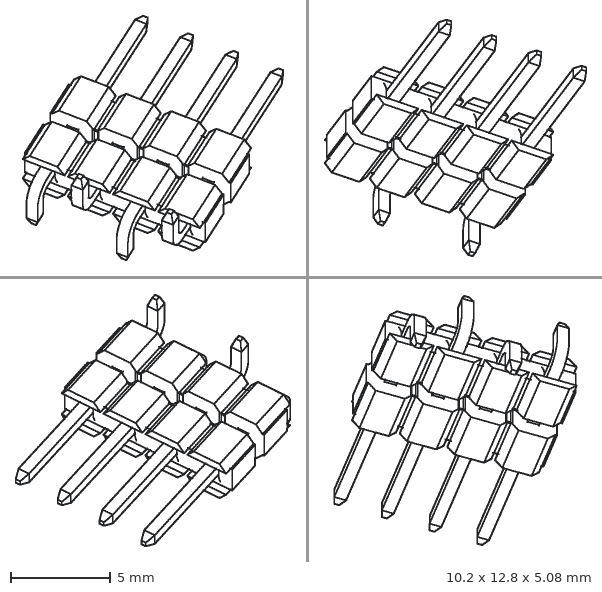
import cadquery as cq
import math

PIN_COUNT = 4
ROW_LENGTH = 10.16
PITCH = ROW_LENGTH / PIN_COUNT

PIN_WIDTH = 0.64
PIN_LENGTH = 12.8
LEG_SPAN = 5.08
BEND_INNER_RADIUS = 0.5
TIP_LENGTH = 0.54
TIP_WIDTH = 0.27

HOUSING_DEPTH = 2.5
HOUSING_HEIGHT = 2.51
BAR_DEPTH = 2.09
BAR_HEIGHT = 1.55
SHELL_BASE_WIDTH = 2.35
SHELL_TOP_WIDTH = 1.56
FRONT_HOUSING_Y = 1.3
HOUSING_GAP = 0.8
HOLE_RIM_RADIUS = 0.3
GROOVE_WIDTH = 0.37
GROOVE_DEPTH = 0.08
GROOVE_HEIGHT = 1.52

BEND_OUTER_RADIUS = BEND_INNER_RADIUS + PIN_WIDTH
INNER_Y = FRONT_HOUSING_Y + HOUSING_DEPTH
BAR_FRONT_Y = INNER_Y - BAR_DEPTH
MIRROR_Y = INNER_Y + HOUSING_GAP / 2
PIN_POSITIONS = [(i - (PIN_COUNT - 1) / 2) * PITCH for i in range(PIN_COUNT)]
GROOVE_POSITIONS = [x + PITCH / 2 for x in PIN_POSITIONS[:-1]]


def square_taper(large, small, length):
    """Square frustum with its large end on Z = 0, narrowing upwards."""
    return cq.Workplane("XY").rect(large, large).workplane(offset=length).rect(small, small).loft()


def make_hole_flare():
    """Cutter along Y, flared in plan only: pin width with a convex rounding at the mouth on Y = 0."""
    half_hole = PIN_WIDTH / 2
    half_mouth = half_hole + HOLE_RIM_RADIUS
    arc_x = half_mouth - HOLE_RIM_RADIUS * math.sin(math.pi / 4)
    arc_y = HOLE_RIM_RADIUS * (1 - math.cos(math.pi / 4))
    return (
        cq.Workplane("XY")
        .moveTo(-half_mouth, 0)
        .threePointArc((-arc_x, arc_y), (-half_hole, HOLE_RIM_RADIUS))
        .lineTo(-half_hole, BAR_DEPTH)
        .lineTo(half_hole, BAR_DEPTH)
        .lineTo(half_hole, HOLE_RIM_RADIUS)
        .threePointArc((arc_x, arc_y), (half_mouth, 0))
        .close()
        .extrude(half_mouth, both=True)
    )


def make_bar():
    """Plain bar with a square pin hole for each pin, its rim rounded on all four walls."""
    bar = cq.Workplane("XY").box(ROW_LENGTH, BAR_DEPTH, BAR_HEIGHT)
    bar = bar.translate((0, BAR_FRONT_Y + BAR_DEPTH / 2, 0))
    flare = make_hole_flare()
    hole = flare.intersect(flare.rotate((0, 0, 0), (0, 1, 0), 90))
    for x in PIN_POSITIONS:
        bar = bar.cut(hole.translate((x, BAR_FRONT_Y, 0)))
    return bar


def make_shell(x, side):
    """Bevelled shell at one pin: side is 1 for above the bar, -1 for below it."""
    half_base = SHELL_BASE_WIDTH / 2
    half_top = SHELL_TOP_WIDTH / 2
    base_z = side * BAR_HEIGHT / 2
    outer_z = side * HOUSING_HEIGHT / 2
    return (
        cq.Workplane("XZ", origin=(x, FRONT_HOUSING_Y, 0))
        .polyline([(-half_base, base_z), (-half_top, outer_z), (half_top, outer_z), (half_base, base_z)])
        .close()
        .extrude(-HOUSING_DEPTH)
    )


def make_groove(x):
    """Recess cutter for the inner face, with 45 degree side walls."""
    half_mouth = GROOVE_WIDTH / 2
    half_floor = half_mouth - GROOVE_DEPTH
    floor_y = INNER_Y - GROOVE_DEPTH
    return (
        cq.Workplane("XY", origin=(x, 0, -GROOVE_HEIGHT / 2))
        .polyline([
            (-half_mouth, INNER_Y), (-half_floor, floor_y),
            (half_floor, floor_y), (half_mouth, INNER_Y),
        ])
        .close()
        .extrude(GROOVE_HEIGHT)
    )


def make_front_housing():
    """Bar with a bevelled shell above and below each pin, and recesses between the units."""
    housing = make_bar()
    for x in GROOVE_POSITIONS:
        housing = housing.cut(make_groove(x))
    for x in PIN_POSITIONS:
        housing = housing.union(make_shell(x, 1)).union(make_shell(x, -1))
    return housing


def make_pin(x, leg_side):
    """Square pin with tapered ends; leg_side is 1 for a leg going up, -1 for down."""
    half = PIN_WIDTH / 2
    shank_end = PIN_LENGTH - TIP_LENGTH
    leg_end = -(LEG_SPAN / 2 - TIP_LENGTH)
    bend_z = half - BEND_OUTER_RADIUS
    arc = math.sin(math.pi / 4)
    outer_mid = (BEND_OUTER_RADIUS * (1 - arc), bend_z + BEND_OUTER_RADIUS * arc)
    inner_mid = (BEND_OUTER_RADIUS - BEND_INNER_RADIUS * arc, bend_z + BEND_INNER_RADIUS * arc)
    pin = (
        cq.Workplane("YZ", origin=(-half, 0, 0))
        .moveTo(shank_end, half)
        .lineTo(BEND_OUTER_RADIUS, half)
        .threePointArc(outer_mid, (0, bend_z))
        .lineTo(0, leg_end)
        .lineTo(PIN_WIDTH, leg_end)
        .lineTo(PIN_WIDTH, bend_z)
        .threePointArc(inner_mid, (BEND_OUTER_RADIUS, -half))
        .lineTo(shank_end, -half)
        .close()
        .extrude(PIN_WIDTH)
    )
    tip = square_taper(PIN_WIDTH, TIP_WIDTH, TIP_LENGTH)
    shank_tip = tip.rotate((0, 0, 0), (1, 0, 0), -90).translate((0, shank_end, 0))
    leg_tip = tip.rotate((0, 0, 0), (1, 0, 0), 180).translate((0, half, leg_end))
    pin = pin.union(shank_tip).union(leg_tip)
    if leg_side > 0:
        pin = pin.mirror("XY")
    return pin.translate((x, 0, 0))


front_housing = make_front_housing()
rear_housing = front_housing.mirror("XZ", (0, MIRROR_Y, 0))

leg_sides = [-1 if i % 2 == 0 else 1 for i in range(PIN_COUNT)]
pins = [make_pin(x, leg_side) for x, leg_side in zip(PIN_POSITIONS, leg_sides)]

result = cq.Compound.makeCompound(
    [front_housing.val(), rear_housing.val(), *[pin.val() for pin in pins]]
)